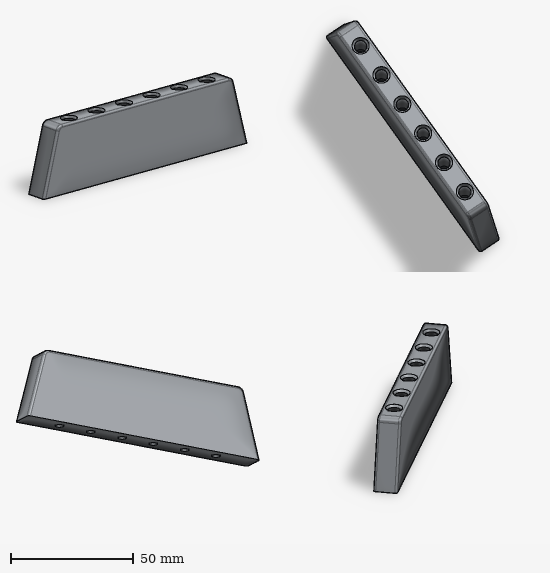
import cadquery as cq
import math

length = 111.0
width = 10.0
height = 30.0
end_angle = 15.0
corner_radius = 2.9
edge_radius = 1.0

hole_count = 6
hole_pitch = 15.0
hole_diameter = 3.5
head_diameter = 5.0
countersink_depth = 1.0
countersink_diameter = head_diameter + 2 * countersink_depth
head_depth = height / 2
shoulder_depth = head_depth + (head_diameter - hole_diameter) / 2


def make_body():
    """Trapezoidal block with rounded upper corners and edges, flat underneath."""
    half_base = length / 2
    half_top = half_base - height * math.tan(math.radians(end_angle))
    outline = [(-half_base, 0), (half_base, 0), (half_top, height), (-half_top, height)]
    block = cq.Workplane("YZ").polyline(outline).close().extrude(width / 2, both=True)
    block = block.edges("|X and >Z").fillet(corner_radius)
    return block.faces("<X or >X").edges("not <Z").fillet(edge_radius)


def make_screw_hole():
    """Cutter for one screw hole, revolved about Z with its mouth at the origin."""
    profile = [
        (0, 0),
        (countersink_diameter / 2, 0),
        (head_diameter / 2, -countersink_depth),
        (head_diameter / 2, -head_depth),
        (hole_diameter / 2, -shoulder_depth),
        (hole_diameter / 2, -height),
        (0, -height),
    ]
    return cq.Workplane("XZ").polyline(profile).close().revolve(360, (0, 0), (0, 1))


result = make_body()
screw_hole = make_screw_hole()
for index in range(hole_count):
    y = (index - (hole_count - 1) / 2) * hole_pitch
    result = result.cut(screw_hole.translate((0, y, height)))